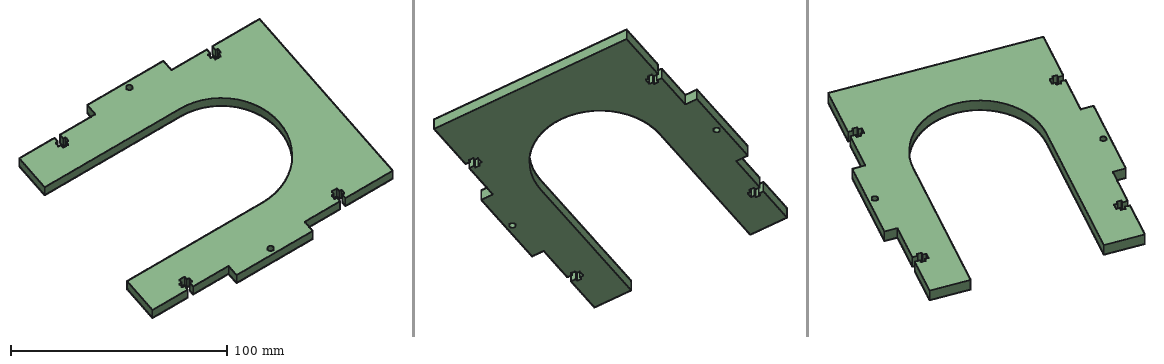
import cadquery as cq

length = 136.4
thickness = 6.4
overall_width = 118.8
tab_depth = thickness
body_width = overall_width - 2 * tab_depth

tab_length = 43.2
tab_center_y = 64.8
screw_diameter = 3.0

arch_radius = 32.7
arch_top_margin = 26.7
arch_center_y = length - arch_top_margin - arch_radius

slot_depth = 6.8
slot_width = screw_diameter
nut_thickness = 2.3
nut_width = 5.6
nut_inset = 3.8
slot_centers_y = [tab_center_y - tab_length, tab_center_y + tab_length]


def block(size_x, size_y, center_x, center_y):
    """Full-thickness rectangular block centred on the given point."""
    return cq.Workplane("XY").center(center_x, center_y).rect(size_x, size_y).extrude(thickness)


def nut_slot(side, center_y):
    """Cross-shaped screw slot and nut pocket; side is -1 or +1 along X."""
    edge_x = body_width / 2
    screw_slot = block(slot_depth, slot_width, side * (edge_x - slot_depth / 2), center_y)
    nut_pocket = block(nut_thickness, nut_width, side * (edge_x - nut_inset), center_y)
    return screw_slot.union(nut_pocket)


plate = block(body_width, length, 0, length / 2)
plate = plate.union(block(overall_width, tab_length, 0, tab_center_y))

arch = (
    cq.Workplane("XY")
    .moveTo(-arch_radius, 0)
    .lineTo(-arch_radius, arch_center_y)
    .threePointArc((0, arch_center_y + arch_radius), (arch_radius, arch_center_y))
    .lineTo(arch_radius, 0)
    .close()
    .extrude(thickness)
)
plate = plate.cut(arch)

screw_x = (overall_width - tab_depth) / 2
screw_holes = (
    cq.Workplane("XY")
    .pushPoints([(-screw_x, tab_center_y), (screw_x, tab_center_y)])
    .circle(screw_diameter / 2)
    .extrude(thickness)
)
plate = plate.cut(screw_holes)

for side in (-1, 1):
    for slot_y in slot_centers_y:
        plate = plate.cut(nut_slot(side, slot_y))

result = plate